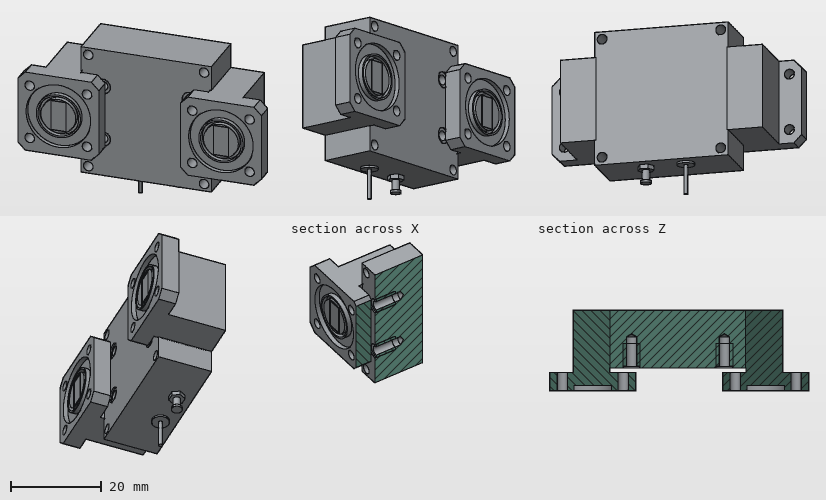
import cadquery as cq
import math

overall_width = 57.15
overall_height = 37.7

housing_side = 30.6
housing_depth = 12.75
housing_front_y = -housing_depth
housing_bottom_z = -housing_side / 2
mount_hole_pitch = 27.15

clearance_diameter = 2.25

adapter_pitch = 38.1
flange_side = overall_width - adapter_pitch
flange_thickness = 4.05
flange_chamfer = 1.8
flange_front_y = -17.8
flange_back_y = flange_front_y + flange_thickness
flange_offset_x = 0.3
bolt_pitch_x = 13.45
bolt_pitch_z = 12.75
neck_seat_depth = 0.3
neck_width = adapter_pitch - housing_side + 2 * neck_seat_depth

ring_groove_outer_diameter = 15.15
ring_groove_inner_diameter = 10.35
ring_groove_depth = 1.15
choke_groove_outer_diameter = 9.55
choke_groove_inner_diameter = 8.2
choke_groove_depth = 1.15
waveguide_width = 3.55
waveguide_height = 2 * waveguide_width
waveguide_depth = 0.2

insert_diameter = 3.6
insert_bore_diameter = 2.25
insert_setback = 0.35
insert_length = 5.05
insert_pitch_x = 20.45
insert_pitch_z = bolt_pitch_z
pilot_depth = 6.85
drill_point_angle = 118

terminal_y = -3.8
feedthrough_x = -4.6
bead_diameter = 3.95
bead_height = 0.45
pin_diameter = 0.85
pin_length = overall_height - housing_side
turret_x = 4.6
hex_across_corners = 3.65
hex_height = 1.0
post_diameter = 1.7
turret_length = 3.95
turret_head_diameter = 2.4
turret_head_height = 0.6

adapter_xs = (-adapter_pitch / 2, adapter_pitch / 2)
insert_places = [
    (side_x * insert_pitch_x / 2, side_z * insert_pitch_z / 2)
    for side_x in (-1, 1)
    for side_z in (-1, 1)
]


def block(width, height, front_y, back_y, x=0):
    """Block centred on Z = 0 that spans from front_y to back_y."""
    middle = (x, (front_y + back_y) / 2, 0)
    return cq.Workplane("XY").box(width, back_y - front_y, height).translate(middle)


def inward(x, z, front_y):
    """Workplane at (x, front_y, z) whose positive extrusions run toward +Y."""
    return cq.Workplane(cq.Plane(origin=(x, front_y, z), xDir=(1, 0, 0), normal=(0, 1, 0)))


def downward(x, top_z):
    """Workplane on the terminal row whose positive extrusions run toward -Z."""
    return cq.Workplane(cq.Plane(origin=(x, terminal_y, top_z), xDir=(1, 0, 0), normal=(0, 0, -1)))


def make_neck(center_x):
    return block(neck_width, flange_side, flange_back_y, 0, center_x)


def make_insert_hole(x, z):
    """Counterbored blind hole for one insert, ending in a drill point."""
    pilot_radius = insert_bore_diameter / 2
    point_length = pilot_radius / math.tan(math.radians(drill_point_angle / 2))
    seat = inward(x, z, housing_front_y).circle(insert_diameter / 2).extrude(insert_setback + insert_length)
    pilot = inward(x, z, housing_front_y).circle(pilot_radius).extrude(pilot_depth)
    point = cq.Solid.makeCone(
        pilot_radius, 0, point_length,
        pnt=cq.Vector(x, housing_front_y + pilot_depth, z), dir=cq.Vector(0, 1, 0),
    )
    return seat.union(pilot).union(cq.Workplane(point))


def make_housing():
    body = block(housing_side, housing_side, housing_front_y, 0)
    mount_holes = (
        inward(0, 0, housing_front_y)
        .rect(mount_hole_pitch, mount_hole_pitch, forConstruction=True)
        .vertices()
        .circle(clearance_diameter / 2)
        .extrude(housing_depth)
    )
    body = body.cut(mount_holes)
    for adapter_x in adapter_xs:
        body = body.cut(make_neck(adapter_x))
    for x, z in insert_places:
        body = body.cut(make_insert_hole(x, z))
    return body


def make_ring_cut(center_x, outer_diameter, inner_diameter, depth):
    """Annular groove cutter in the flange face."""
    face = inward(center_x, 0, flange_front_y)
    return face.circle(outer_diameter / 2).circle(inner_diameter / 2).extrude(depth)


def make_adapter(neck_x):
    flange_x = neck_x + flange_offset_x
    flange = block(flange_side, flange_side, flange_front_y, flange_back_y, flange_x)
    flange = flange.edges("|Y").chamfer(flange_chamfer)

    bolt_holes = (
        inward(flange_x, 0, flange_front_y)
        .rect(bolt_pitch_x, bolt_pitch_z, forConstruction=True)
        .vertices()
        .circle(clearance_diameter / 2)
        .extrude(flange_thickness)
    )
    ring_groove = make_ring_cut(
        flange_x, ring_groove_outer_diameter, ring_groove_inner_diameter, ring_groove_depth
    )
    choke_groove = make_ring_cut(
        flange_x, choke_groove_outer_diameter, choke_groove_inner_diameter, choke_groove_depth
    )
    face = inward(flange_x, 0, flange_front_y)
    waveguide = face.rect(waveguide_width, waveguide_height).extrude(waveguide_depth)

    flange = flange.cut(bolt_holes).cut(ring_groove).cut(choke_groove).cut(waveguide)
    return flange.union(make_neck(neck_x))


def make_insert(x, z):
    """Plain sleeve standing for a threaded insert."""
    front = inward(x, z, housing_front_y + insert_setback)
    return front.circle(insert_diameter / 2).circle(insert_bore_diameter / 2).extrude(insert_length)


def make_bead():
    """Insulating collar around the feedthrough pin."""
    top = downward(feedthrough_x, housing_bottom_z)
    return top.circle(bead_diameter / 2).circle(pin_diameter / 2).extrude(bead_height)


def make_pin():
    return downward(feedthrough_x, housing_bottom_z).circle(pin_diameter / 2).extrude(pin_length)


def make_turret():
    """Turret terminal: hexagonal base, round post and a wider round head."""
    base = downward(turret_x, housing_bottom_z).polygon(6, hex_across_corners).extrude(hex_height)
    post = downward(turret_x, housing_bottom_z).circle(post_diameter / 2).extrude(turret_length)
    head_top_z = housing_bottom_z - turret_length + turret_head_height
    head = downward(turret_x, head_top_z).circle(turret_head_diameter / 2).extrude(turret_head_height)
    return base.union(post).union(head)


housing = make_housing()
adapters = [make_adapter(x) for x in adapter_xs]
inserts = [make_insert(x, z) for x, z in insert_places]
bead = make_bead()
pin = make_pin()
turret = make_turret()

result = cq.Compound.makeCompound([
    housing.val(),
    *[adapter.val() for adapter in adapters],
    *[insert.val() for insert in inserts],
    bead.val(),
    pin.val(),
    turret.val(),
])